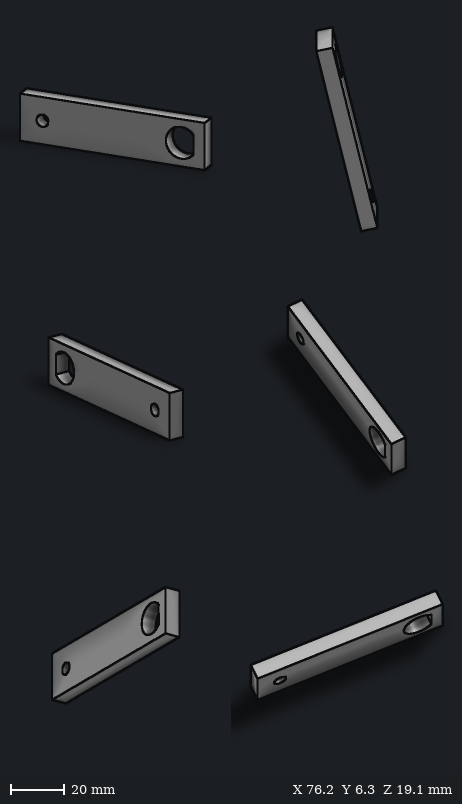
import cadquery as cq

length = 76.2
thickness = 6.3
height = 19.05

pin_hole_diameter = 4.8
pin_hole_x = 9.3
d_hole_diameter = 12.65
d_hole_x = 66.5
d_hole_flat_offset = 4.95


def through_cylinder(x, diameter):
    """Cylinder along Y through the full thickness at mid-height."""
    return (
        cq.Workplane("XZ", origin=(x, 0, height / 2))
        .circle(diameter / 2)
        .extrude(-thickness)
    )


def d_hole_cutter():
    """Round cutter trimmed by a vertical flat on its +X side."""
    radius = d_hole_diameter / 2
    keep = cq.Workplane("XY").box(
        radius + d_hole_flat_offset, thickness, d_hole_diameter, centered=False
    )
    keep = keep.translate((d_hole_x - radius, 0, height / 2 - radius))
    return through_cylinder(d_hole_x, d_hole_diameter).intersect(keep)


bar = cq.Workplane("XY").box(length, thickness, height, centered=False)
pin_hole = through_cylinder(pin_hole_x, pin_hole_diameter)
result = bar.cut(pin_hole).cut(d_hole_cutter())